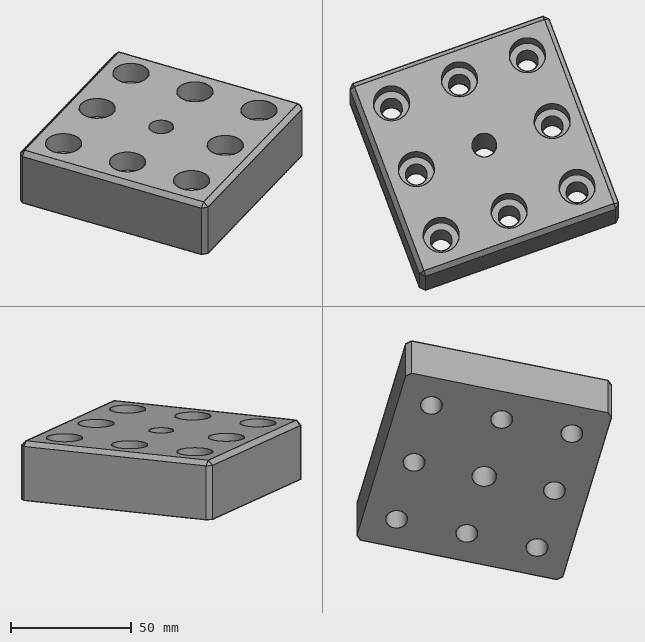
import cadquery as cq

side = 88.0
height = 25.0
edge_chamfer = 2.0

hole_pitch = 30.0
bolt_diameter = 9.0
counterbore_diameter = 15.0
counterbore_depth = 9.0
center_diameter = 10.1


def make_block():
    """Square block with its vertical and top edges chamfered; the bottom edges stay sharp."""
    block = cq.Workplane("XY").box(side, side, height, centered=(True, True, False))
    return block.edges("|Z or >Z").chamfer(edge_chamfer)


def bolt_positions():
    """Grid positions around the center hole."""
    steps = (-hole_pitch, 0, hole_pitch)
    return [(x, y) for x in steps for y in steps if (x, y) != (0, 0)]


block = make_block()
top_plane = block.faces(">Z").workplane(origin=(0, 0, height))
block = top_plane.pushPoints(bolt_positions()).cboreHole(
    bolt_diameter, counterbore_diameter, counterbore_depth
)
result = block.faces(">Z").workplane(origin=(0, 0, height)).hole(center_diameter)